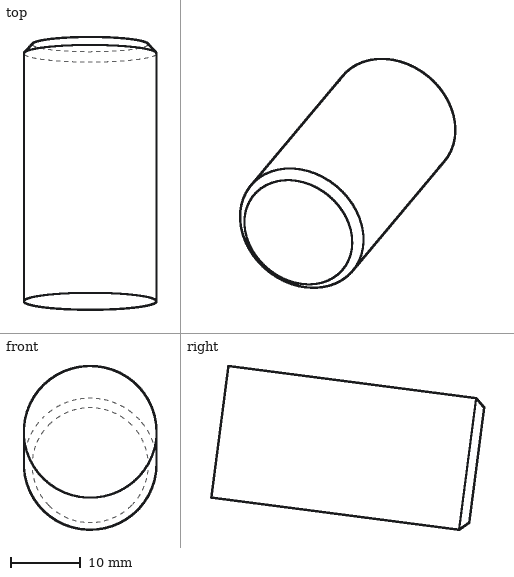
import cadquery as cq
import math

diameter = 19.05
overall_y = 39.08
chamfer_length = 1.33
chamfer_depth = 1.2
tilt = 7.4

radius = diameter / 2
tip_radius = radius - chamfer_depth

tilt_angle = math.radians(tilt)
length = (overall_y - (radius + tip_radius) * math.sin(tilt_angle)) / math.cos(tilt_angle)

half_section = (
    cq.Workplane("XY")
    .moveTo(0, -length / 2)
    .lineTo(radius, -length / 2)
    .lineTo(radius, length / 2 - chamfer_length)
    .lineTo(tip_radius, length / 2)
    .lineTo(0, length / 2)
    .close()
)
pin = half_section.revolve(360, (0, 0, 0), (0, 1, 0))

result = pin.rotate((0, 0, 0), (1, 0, 0), -tilt)